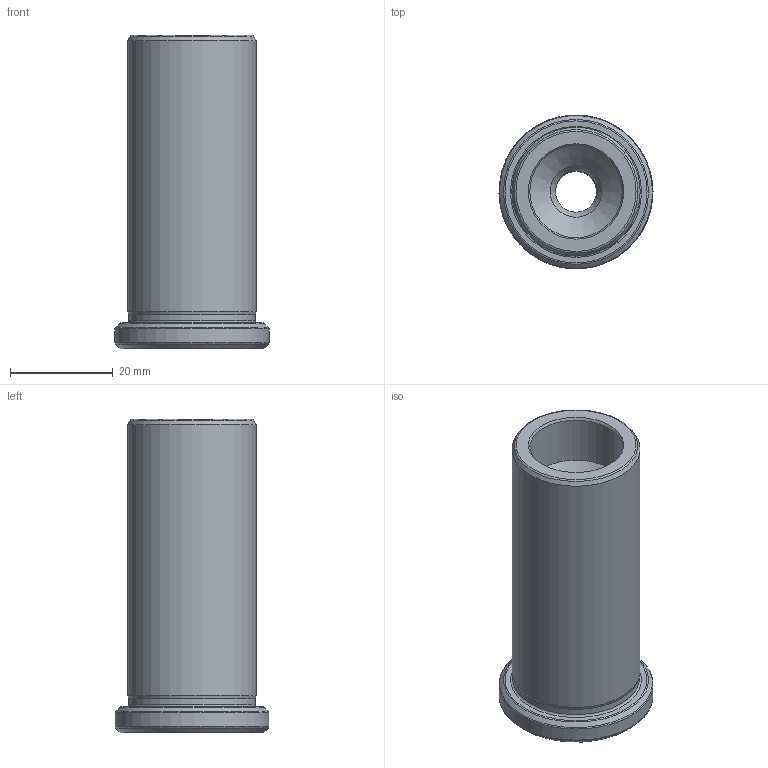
import cadquery as cq
import math

edge_round = 0.4

head_diameter = 30.0
head_height = 5.0
head_chamfer = 1.0

overall_height = 61.0
shank_diameter = 25.0
tip_chamfer_height = 1.0
tip_chamfer_angle = 30.0

groove_diameter = 24.7
groove_width = 2.2
groove_run_out_angle = 15.0

bore_diameter = 18.0
bore_depth = 10.0
bore_lead_in_height = 0.5
bore_lead_in_angle = 30.0
floor_cone_end_diameter = 10.0
floor_cone_angle = 90.0
throat_cone_angle = 60.0
through_diameter = 8.0


def offset_at_angle(height, angle):
    """Radial offset of a slope of the given height, tilted by angle from the axis."""
    return height * math.tan(math.radians(angle))


def cone_height(start_diameter, end_diameter, included_angle):
    """Axial length of a cone between two diameters."""
    return (start_diameter - end_diameter) / 2 / math.tan(math.radians(included_angle / 2))


def rim_at(height):
    """Selector for the circular edges of the head at the given height."""
    band = 0.1
    return cq.selectors.BoxSelector(
        (-head_diameter, -head_diameter, height - band),
        (head_diameter, head_diameter, height + band),
    )


def make_head():
    """Flange disc with chamfered rims; every chamfer edge except the lowest is rounded."""
    head = cq.Workplane("XY").circle(head_diameter / 2).extrude(head_height)
    head = head.faces("<Z or >Z").edges().chamfer(head_chamfer)
    for height in (head_height, head_height - head_chamfer, head_chamfer):
        head = head.edges(rim_at(height)).edges("%CIRCLE").fillet(edge_round)
    return head


def make_shank():
    """Revolved shank with the relief groove at its foot and a chamfered, rounded tip."""
    shank_radius = shank_diameter / 2
    groove_radius = groove_diameter / 2
    groove_top = head_height + groove_width
    run_out_height = (shank_radius - groove_radius) / math.tan(math.radians(groove_run_out_angle))
    tip_radius = shank_radius - offset_at_angle(tip_chamfer_height, tip_chamfer_angle)
    corner_centre_radius = groove_radius + edge_round
    corner_centre_height = head_height + edge_round
    corner_reach = edge_round * math.cos(math.radians(45))
    corner_middle = (corner_centre_radius - corner_reach, corner_centre_height - corner_reach)
    buried_foot = head_height / 2
    shank = (
        cq.Workplane("XZ")
        .moveTo(0, buried_foot)
        .lineTo(corner_centre_radius, buried_foot)
        .lineTo(corner_centre_radius, head_height)
        .threePointArc(corner_middle, (groove_radius, corner_centre_height))
        .lineTo(groove_radius, groove_top - run_out_height)
        .lineTo(shank_radius, groove_top)
        .lineTo(shank_radius, overall_height - tip_chamfer_height)
        .lineTo(tip_radius, overall_height)
        .lineTo(0, overall_height)
        .close()
        .revolve(360, (0, 0), (0, 1))
    )
    return shank.faces(">Z").edges().fillet(edge_round)


def make_bore():
    """Revolved cutter: lead-in, wide bore, conical floor, throat cone and through hole."""
    bore_radius = bore_diameter / 2
    throat_radius = floor_cone_end_diameter / 2
    through_radius = through_diameter / 2
    lead_in_radius = bore_radius + offset_at_angle(bore_lead_in_height, bore_lead_in_angle)
    floor_top = overall_height - bore_depth
    floor_bottom = floor_top - cone_height(bore_diameter, floor_cone_end_diameter, floor_cone_angle)
    throat_bottom = floor_bottom - cone_height(floor_cone_end_diameter, through_diameter, throat_cone_angle)
    return (
        cq.Workplane("XZ")
        .lineTo(through_radius, 0)
        .lineTo(through_radius, throat_bottom)
        .lineTo(throat_radius, floor_bottom)
        .lineTo(bore_radius, floor_top)
        .lineTo(bore_radius, overall_height - bore_lead_in_height)
        .lineTo(lead_in_radius, overall_height)
        .lineTo(0, overall_height)
        .close()
        .revolve(360, (0, 0), (0, 1))
    )


result = make_head().union(make_shank()).cut(make_bore())